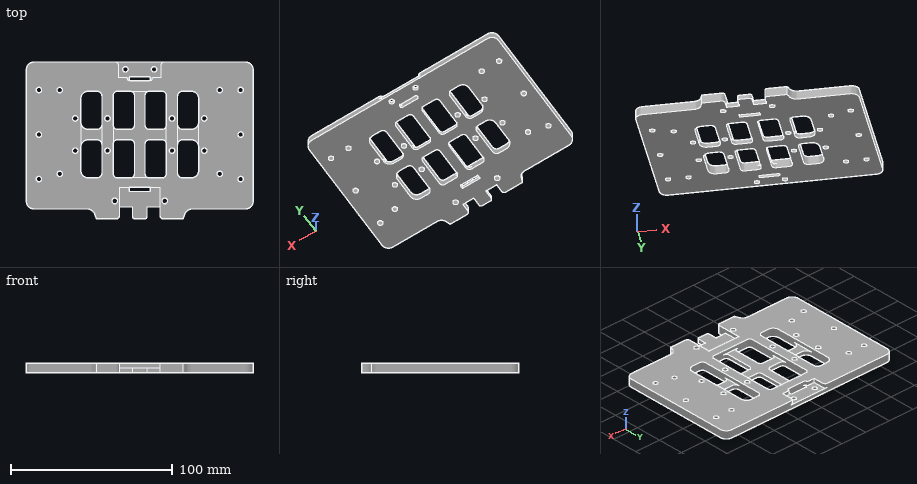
import cadquery as cq
import math

length = 140.8
overall_width = 97.3
thickness = 6.0
back_y = overall_width / 2
lip_y = -overall_width / 2
front_y = -42.5
plate_corner_radius = 5.0

lip_half_width = 26.9
lip_flank_angle = math.radians(20)
lip_blend_radius = 5.0
mouth_radius = 2.0

floor_z = 3.1

front_pocket_half_width = 12.5
front_pocket_back_y = -29.2
front_floor_edge_y = -41.3
tongue_half_width = 4.5
tongue_corner_radius = 1.4

back_pocket_half_width = 13.2
back_pocket_front_y = 38.9
slot_bay_half_width = 7.5
slot_bay_corner_radius = 0.8

slot_length = 13.0
slot_width = 2.4
slot_corner_radius = 0.7
back_slot_overlap = 0.5

bay_center_y = 3.7
bay_height = 53.5
crossbar_width = 6.6
center_bay_half_width = 16.3
center_bay_radius = 2.4
center_post_width = 6.8
side_bay_inner_x = 23.5
side_bay_outer_x = 36.5
side_bay_outer_radius = 4.5
side_bay_inner_radius = 3.0

hole_diameter = 3.2
front_hole_diameter = 3.4
grid_pitch = 20.0
edge_hole_x = 62.5
edge_hole_pitch = 27.6
inset_hole_x = 49.6
inset_hole_drop = 24.4
front_hole_x = 15.5
front_hole_y = -37.5
back_hole_x = 8.9
back_hole_y = 44.1

corner_reach = 0.07


def block(x_min, x_max, y_min, y_max, z_min=0.0, z_max=thickness):
    """Box between the given limits."""
    return (
        cq.Workplane("XY", origin=(0, 0, z_min))
        .moveTo((x_min + x_max) / 2, (y_min + y_max) / 2)
        .rect(x_max - x_min, y_max - y_min)
        .extrude(z_max - z_min)
    )


def round_corners(body, radius, corners):
    """Fillet the vertical edges that stand at the given (x, y) corners."""
    for x, y in corners:
        selector = cq.selectors.BoxSelector(
            (x - corner_reach, y - corner_reach, -thickness),
            (x + corner_reach, y + corner_reach, 2 * thickness),
        )
        body = body.edges("|Z").edges(selector).fillet(radius)
    return body


def mirrored(x, y):
    return [(-x, y), (x, y)]


def make_plate():
    """Plate and front lip, before any pocket is cut."""
    flank_run = (front_y - lip_y) * math.tan(lip_flank_angle)
    lip_root = lip_half_width + flank_run
    outline = [
        (-length / 2, back_y),
        (-length / 2, front_y),
        (-lip_root, front_y),
        (-lip_half_width, lip_y),
        (lip_half_width, lip_y),
        (lip_root, front_y),
        (length / 2, front_y),
        (length / 2, back_y),
    ]
    plate = cq.Workplane("XY").polyline(outline).close().extrude(thickness)
    corners = mirrored(length / 2, back_y) + mirrored(length / 2, front_y)
    plate = round_corners(plate, plate_corner_radius, corners)
    return round_corners(plate, lip_blend_radius, mirrored(lip_root, front_y))


def cut_front_pocket(plate):
    """Sunken floor open to the front, ending in a narrow tongue."""
    half = front_pocket_half_width
    plate = plate.cut(block(-half, half, lip_y, front_pocket_back_y, floor_z))
    plate = plate.cut(block(-half, -tongue_half_width, lip_y, front_floor_edge_y))
    plate = plate.cut(block(tongue_half_width, half, lip_y, front_floor_edge_y))
    slot_front_y = front_pocket_back_y - slot_width
    plate = plate.cut(block(-slot_length / 2, slot_length / 2, slot_front_y, front_pocket_back_y))
    plate = round_corners(plate, mouth_radius, mirrored(half, lip_y))
    return round_corners(plate, tongue_corner_radius, mirrored(tongue_half_width, lip_y))


def cut_back_pocket(plate):
    """Sunken floor open to the back, with a bay around its strap slot."""
    half = back_pocket_half_width
    slot_back_y = back_pocket_front_y + back_slot_overlap
    bay_front_y = slot_back_y - slot_width
    bay = block(-slot_bay_half_width, slot_bay_half_width, bay_front_y, back_y, floor_z)
    bay = round_corners(bay, slot_bay_corner_radius, mirrored(slot_bay_half_width, bay_front_y))
    pocket = block(-half, half, back_pocket_front_y, back_y, floor_z).union(bay)
    pocket = round_corners(
        pocket, slot_bay_corner_radius, mirrored(slot_bay_half_width, back_pocket_front_y)
    )
    slot = block(-slot_length / 2, slot_length / 2, bay_front_y, slot_back_y)
    slot = slot.edges("|Z").fillet(slot_corner_radius)
    plate = plate.cut(pocket)
    plate = round_corners(plate, mouth_radius, mirrored(half, back_y))
    return plate.cut(slot)


def cut_windows(plate):
    """Three recessed bays, each opened right through beside its bars."""
    y_min = bay_center_y - bay_height / 2
    y_max = bay_center_y + bay_height / 2
    bar_front = bay_center_y - crossbar_width / 2
    bar_back = bay_center_y + crossbar_width / 2

    half = center_bay_half_width
    bay = block(-half, half, y_min, y_max, floor_z)
    plate = plate.cut(bay.edges("|Z").fillet(center_bay_radius))

    for side in (-1, 1):
        inner, outer = side * side_bay_inner_x, side * side_bay_outer_x
        x_min, x_max = sorted((inner, outer))
        bay = block(x_min, x_max, y_min, y_max, floor_z)
        bay = round_corners(bay, side_bay_outer_radius, [(outer, y_min), (outer, y_max)])
        bay = round_corners(bay, side_bay_inner_radius, [(inner, y_min), (inner, y_max)])
        plate = plate.cut(bay)
        post_x, wall_x = side * center_post_width / 2, side * half
        post_min, post_max = sorted((post_x, wall_x))
        for low, high in ((y_min, bar_front), (bar_back, y_max)):
            window = block(x_min, x_max, low, high)
            window = round_corners(window, side_bay_outer_radius, [(outer, low), (outer, high)])
            window = round_corners(window, side_bay_inner_radius, [(inner, low), (inner, high)])
            plate = plate.cut(window)
            window = block(post_min, post_max, low, high)
            plate = plate.cut(window.edges("|Z").fillet(center_bay_radius))
    return plate


def drill(plate, points, diameter):
    drills = cq.Workplane("XY").pushPoints(points).circle(diameter / 2).extrude(thickness)
    return plate.cut(drills)


def drill_holes(plate):
    points = mirrored(back_hole_x, back_hole_y)
    for row in (-1, 0, 1):
        points += mirrored(edge_hole_x, bay_center_y + row * edge_hole_pitch)
    points += mirrored(inset_hole_x, bay_center_y + edge_hole_pitch)
    points += mirrored(inset_hole_x, bay_center_y - inset_hole_drop)
    for column in (1, 2):
        for row in (-0.5, 0.5):
            points += mirrored(column * grid_pitch, bay_center_y + row * grid_pitch)
    plate = drill(plate, points, hole_diameter)
    return drill(plate, mirrored(front_hole_x, front_hole_y), front_hole_diameter)


result = drill_holes(cut_windows(cut_back_pocket(cut_front_pocket(make_plate()))))